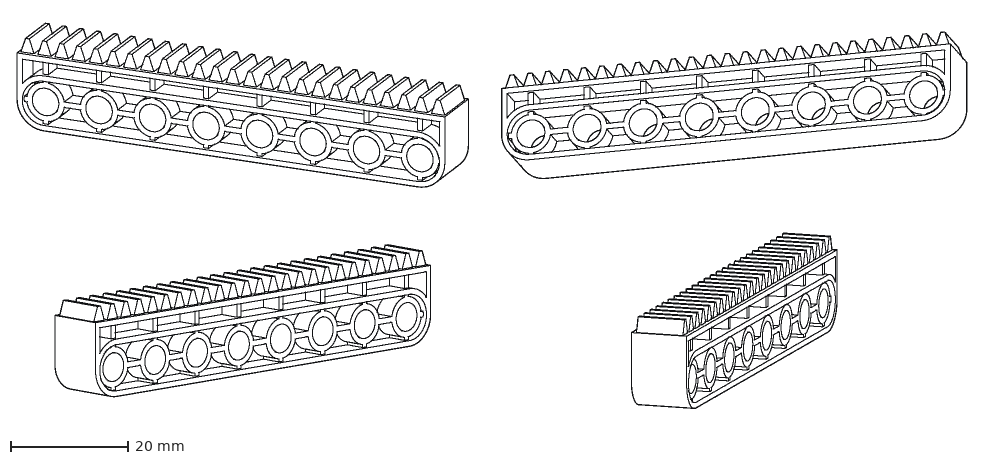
import cadquery as cq

HOLE_COUNT = 8
HOLE_PITCH = 10.0
LENGTH = HOLE_COUNT * HOLE_PITCH
DEPTH = HOLE_PITCH
TOTAL_HEIGHT = 16.0
TOOTH_HEIGHT = 2.6
BODY_HEIGHT = TOTAL_HEIGHT - TOOTH_HEIGHT
END_RADIUS = HOLE_PITCH / 2
HOLE_HEIGHT = END_RADIUS

WALL = HOLE_PITCH / 10
RIB_RECESS = 0.8
RIB_DEPTH = DEPTH - 2 * RIB_RECESS

HOLE_DIAMETER = 5.0
COLLAR_DIAMETER = 7.0

TOOTH_COUNT = 25
TOOTH_PITCH = LENGTH / TOOTH_COUNT
TOOTH_LENGTH = 8.4
TOOTH_ROOT_WIDTH = 2.5
TOOTH_TIP_WIDTH = 0.7

hole_centres = [((i + 0.5) * HOLE_PITCH, HOLE_HEIGHT) for i in range(HOLE_COUNT)]


def side_plane():
    """Vertical XZ sketch plane in the middle of the part's depth."""
    return cq.Workplane("XZ")


def block(centre_x, centre_z, width, height, depth):
    """Rectangular block centred in the part's depth."""
    return cq.Workplane("XY").box(width, depth, height).translate((centre_x, 0, centre_z))


def body_outline(inset, depth):
    """Square-topped bar with rounded bottom corners, shrunk inwards by the inset."""
    bar = block(LENGTH / 2, BODY_HEIGHT / 2, LENGTH - 2 * inset, BODY_HEIGHT - 2 * inset, depth)
    return bar.edges("|Y and <Z").fillet(END_RADIUS - inset)


def round_ended_bar(inset, depth):
    """Bar with full round ends around the row of holes, shrunk inwards by the inset."""
    return (
        side_plane()
        .center(LENGTH / 2, HOLE_HEIGHT)
        .slot2D(LENGTH - 2 * inset, 2 * (END_RADIUS - inset))
        .extrude(depth / 2, both=True)
    )


def walls():
    """Outer rim, round-ended wall around the holes, and the middle web."""
    rim = body_outline(0, DEPTH).cut(body_outline(WALL, DEPTH))
    hole_wall = round_ended_bar(0, DEPTH).cut(round_ended_bar(WALL, DEPTH))
    web = body_outline(0, WALL)
    return rim.union(hole_wall).union(web)


def ribs_and_collars():
    """Lengthwise rib, one upright rib per hole, and collars, all recessed from the rim."""
    ribs = block(LENGTH / 2, HOLE_HEIGHT, LENGTH - WALL, WALL, RIB_DEPTH)
    for x, _ in hole_centres:
        ribs = ribs.union(block(x, BODY_HEIGHT / 2, WALL, BODY_HEIGHT - WALL, RIB_DEPTH))
    collars = side_plane().pushPoints(hole_centres).circle(COLLAR_DIAMETER / 2)
    collars = collars.extrude(RIB_DEPTH / 2, both=True)
    return ribs.union(collars)


def pin_holes():
    return side_plane().pushPoints(hole_centres).circle(HOLE_DIAMETER / 2).extrude(DEPTH, both=True)


def rack_teeth():
    """Row of straight-flanked teeth standing on the body top, shorter than the body is deep."""
    teeth = side_plane()
    for i in range(TOOTH_COUNT):
        x = (i + 0.5) * TOOTH_PITCH
        teeth = teeth.polyline([
            (x - TOOTH_ROOT_WIDTH / 2, BODY_HEIGHT),
            (x - TOOTH_TIP_WIDTH / 2, TOTAL_HEIGHT),
            (x + TOOTH_TIP_WIDTH / 2, TOTAL_HEIGHT),
            (x + TOOTH_ROOT_WIDTH / 2, BODY_HEIGHT),
        ]).close()
    return teeth.extrude(TOOTH_LENGTH / 2, both=True)


result = (
    walls()
    .union(ribs_and_collars())
    .cut(pin_holes())
    .union(rack_teeth())
    .translate((-LENGTH / 2, 0, 0))
)